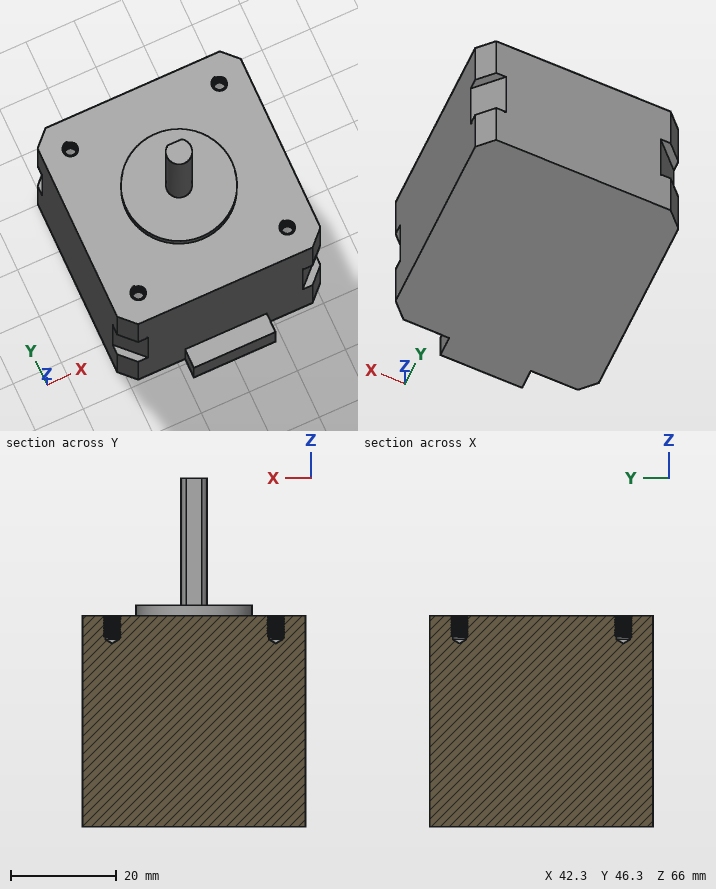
import cadquery as cq
import math

body_width = 42.3
body_height = 40.0
corner_chamfer = 3.0

band_chamfer = 5.06
band_bottom = 12.9
band_top = 27.1

pilot_diameter = 22.0
pilot_height = 2.0
shaft_diameter = 5.0
shaft_top = 66.0
shaft_flat_offset = 2.0

hole_spacing = 31.0
thread_minor_diameter = 2.53
thread_major_diameter = 3.09
thread_pitch = 0.5
thread_flank_angle = 30.0
thread_root_width = thread_pitch / 8
thread_start_angle = 180.0
thread_overlap = 0.03
hole_depth = 4.5
hole_turn = 270.0
drill_point_angle = 118.0

connector_width = 17.0
connector_projection = 4.0
connector_height = 7.0
connector_offset = 0.12


def chamfered_block(bottom, top, chamfer):
    """Square block with its four vertical edges chamfered."""
    block = cq.Workplane("XY").workplane(offset=bottom).rect(body_width, body_width).extrude(top - bottom)
    return block.edges("|Z").chamfer(chamfer)


def make_body():
    """Two end caps with the more deeply chamfered band between them."""
    lower_cap = chamfered_block(0, band_bottom, corner_chamfer)
    band = chamfered_block(band_bottom, band_top, band_chamfer)
    upper_cap = chamfered_block(band_top, body_height, corner_chamfer)
    return lower_cap.union(band).union(upper_cap).clean()


def make_pilot():
    """Round locating boss on the top face."""
    return cq.Workplane("XY").workplane(offset=body_height).circle(pilot_diameter / 2).extrude(pilot_height)


def make_shaft():
    """Output shaft with one flat along its full exposed length."""
    radius = shaft_diameter / 2
    flat_half_width = math.sqrt(radius**2 - shaft_flat_offset**2)
    return (
        cq.Workplane("XY")
        .workplane(offset=body_height)
        .moveTo(-flat_half_width, shaft_flat_offset)
        .threePointArc((0, -radius), (flat_half_width, shaft_flat_offset))
        .close()
        .extrude(shaft_top - body_height)
    )


def make_connector():
    """Rectangular connector block, flush with the underside of the body."""
    centre_y = -(body_width + connector_projection) / 2
    return (
        cq.Workplane("XY")
        .center(connector_offset, centre_y)
        .rect(connector_width, connector_projection)
        .extrude(connector_height)
    )


def make_drill_cutter():
    """Plain hole at the minor diameter with a conical bottom, opening at Z = 0."""
    radius = thread_minor_diameter / 2
    point_depth = radius / math.tan(math.radians(drill_point_angle / 2))
    profile = [
        (0, 0),
        (radius, 0),
        (radius, -hole_depth),
        (0, -hole_depth - point_depth),
    ]
    return cq.Workplane("XZ").polyline(profile).close().revolve(360, (0, 0, 0), (0, 1, 0))


def make_thread_cutter():
    """Helical groove of a right-hand thread that runs out through the mouth at Z = 0.

    The groove starts on the side opposite the seam of the drilled wall, which keeps the cut sound.
    """
    inner_radius = thread_minor_diameter / 2 - thread_overlap
    outer_radius = thread_major_diameter / 2
    root_half_width = thread_root_width / 2
    flank_rise = (outer_radius - inner_radius) * math.tan(math.radians(thread_flank_angle))
    inner_half_width = root_half_width + flank_rise
    start_z = -hole_depth + thread_pitch / 2
    profile = [
        (inner_radius, start_z - inner_half_width),
        (outer_radius, start_z - root_half_width),
        (outer_radius, start_z + root_half_width),
        (inner_radius, start_z + inner_half_width),
    ]
    path = cq.Wire.makeHelix(thread_pitch, hole_depth, inner_radius, cq.Vector(0, 0, start_z))
    groove = cq.Workplane("XZ").polyline(profile).close().sweep(cq.Workplane(path), isFrenet=True)
    return groove.rotate((0, 0, 0), (0, 0, 1), thread_start_angle)


result = make_body().union(make_pilot()).union(make_shaft()).union(make_connector())

hole_cutters = [
    cutter.rotate((0, 0, 0), (0, 0, 1), hole_turn)
    for cutter in (make_drill_cutter(), make_thread_cutter())
]
for side_x in (-1, 1):
    for side_y in (-1, 1):
        hole_centre = (side_x * hole_spacing / 2, side_y * hole_spacing / 2, body_height)
        for cutter in hole_cutters:
            result = result.cut(cutter.translate(hole_centre))